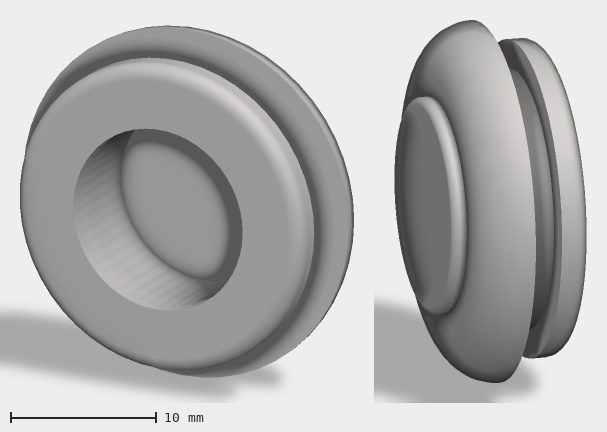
import cadquery as cq

lip_radius = 11.0
neck_radius = 9.0
flange_radius = 12.5
boss_radius = 7.5
bore_radius = 6.5

lip_thickness = 2.0
neck_length = 2.3
flange_thickness = 3.5
boss_height = 1.0
end_wall = 1.5

lip_round = 1.0
flange_round = flange_thickness
boss_round = 0.5

lip_back = lip_thickness
flange_front = lip_back + neck_length
flange_back = flange_front + flange_thickness
boss_back = flange_back + boss_height
bore_depth = boss_back - end_wall

body_profile = (
    cq.Workplane("XY")
    .lineTo(lip_radius - lip_round, 0)
    .radiusArc((lip_radius, lip_round), -lip_round)
    .lineTo(lip_radius, lip_back)
    .lineTo(neck_radius, lip_back)
    .lineTo(neck_radius, flange_front)
    .lineTo(flange_radius, flange_front)
    .radiusArc((flange_radius - flange_round, flange_back), -flange_round)
    .lineTo(boss_radius, flange_back)
    .lineTo(boss_radius, boss_back - boss_round)
    .radiusArc((boss_radius - boss_round, boss_back), -boss_round)
    .lineTo(0, boss_back)
    .close()
)
body = body_profile.revolve(360, (0, 0, 0), (0, 1, 0))

bore = (
    cq.Workplane("XY")
    .lineTo(bore_radius, 0)
    .lineTo(bore_radius, bore_depth)
    .lineTo(0, bore_depth)
    .close()
    .revolve(360, (0, 0, 0), (0, 1, 0))
)

result = body.cut(bore)